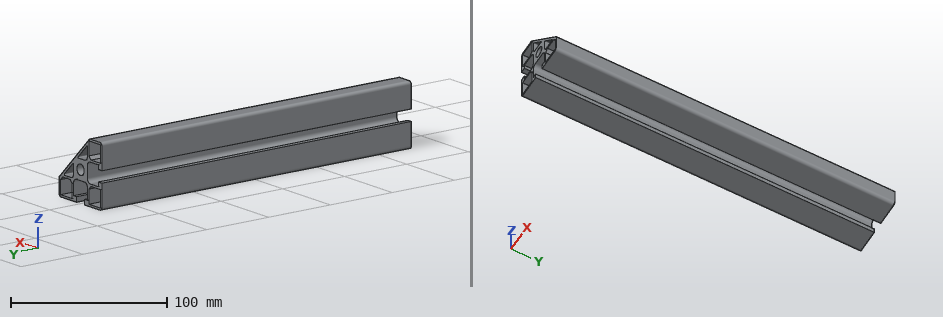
import cadquery as cq
import math

side = 45.0
length = 250.0
center = side / 2
outer_radius = 2.2

short_side = 13.0
slope_end_radius = 1.0

wall = 1.5
slope_wall = 1.8
core_width = 14.5
bore_diameter = 7.5

slot_opening = 8.2
lip_depth = 3.8
slot_radius = 3.0

chamber_chamfer = 2.2
web_corner_radius = 3.0
web_tip_radius = 0.5

core_min = center - core_width / 2
core_max = center + core_width / 2
chamber_size = core_min - 2 * wall
slope_inset = slope_wall * math.sqrt(2)


def extrude_outline(points):
    """Extrude an XZ outline over the full length, towards +Y."""
    return cq.Workplane("XZ").polyline(points).close().extrude(-length)


def box_between(x_min, z_min, x_size, z_size):
    """Full-length rectangular bar with its lower left corner at the given point."""
    return cq.Workplane("XY").box(x_size, length, z_size, centered=False).translate((x_min, 0, z_min))


def mirror_across_diagonal(body):
    """Swap X and Z, keeping Y."""
    return body.mirror("XY").rotate((0, 0, 0), (0, 1, 0), -90)


def outer_body():
    """Square bar with one long edge cut off and all five corners rounded."""
    corners = [
        (0, 0, outer_radius),
        (side, 0, outer_radius),
        (side, short_side, slope_end_radius),
        (short_side, side, slope_end_radius),
        (0, side, outer_radius),
    ]
    body = extrude_outline([(x, z) for x, z, _ in corners])
    for x, z, radius in corners:
        corner = cq.selectors.NearestToPointSelector((x, length / 2, z))
        body = body.edges("|Y").edges(corner).fillet(radius)
    return body


def bottom_slot():
    opening = box_between(center - slot_opening / 2, 0, slot_opening, core_min)
    cavity = box_between(core_min, lip_depth, core_width, core_min - lip_depth)
    cavity = cavity.edges("|Y and >Z").fillet(slot_radius)
    return opening.union(cavity)


def corner_chamber(x_min, z_min, chamfered_edges):
    chamber = box_between(x_min, z_min, chamber_size, chamber_size)
    for x_end, z_end in chamfered_edges:
        chamber = chamber.edges("|Y").edges(x_end).edges(z_end).chamfer(chamber_chamfer)
    return chamber


def upper_web_pocket():
    """Triangular pocket between the core and the sloping wall."""
    slope_sum = side + short_side - slope_inset
    pocket = extrude_outline(
        [
            (core_min, core_max),
            (slope_sum - core_max, core_max),
            (core_min, slope_sum - core_min),
        ]
    )
    core_corner = cq.selectors.NearestToPointSelector((core_min, length / 2, core_max))
    pocket = pocket.edges("|Y").edges(core_corner).fillet(web_corner_radius)
    for x, z in [(slope_sum - core_max, core_max), (core_min, slope_sum - core_min)]:
        tip = cq.selectors.NearestToPointSelector((x, length / 2, z))
        pocket = pocket.edges("|Y").edges(tip).fillet(web_tip_radius)
    return pocket


far_chamber = side - wall - chamber_size
bore = cq.Workplane("XZ").center(center, center).circle(bore_diameter / 2).extrude(-length)

cutters = [
    bottom_slot(),
    mirror_across_diagonal(bottom_slot()),
    corner_chamber(wall, wall, [(">X", ">Z")]),
    corner_chamber(wall, far_chamber, [(">X", "<Z")]),
    corner_chamber(far_chamber, wall, [("<X", ">Z"), (">X", ">Z")]),
    upper_web_pocket(),
    mirror_across_diagonal(upper_web_pocket()),
    bore,
]

result = outer_body()
for cutter in cutters:
    result = result.cut(cutter)